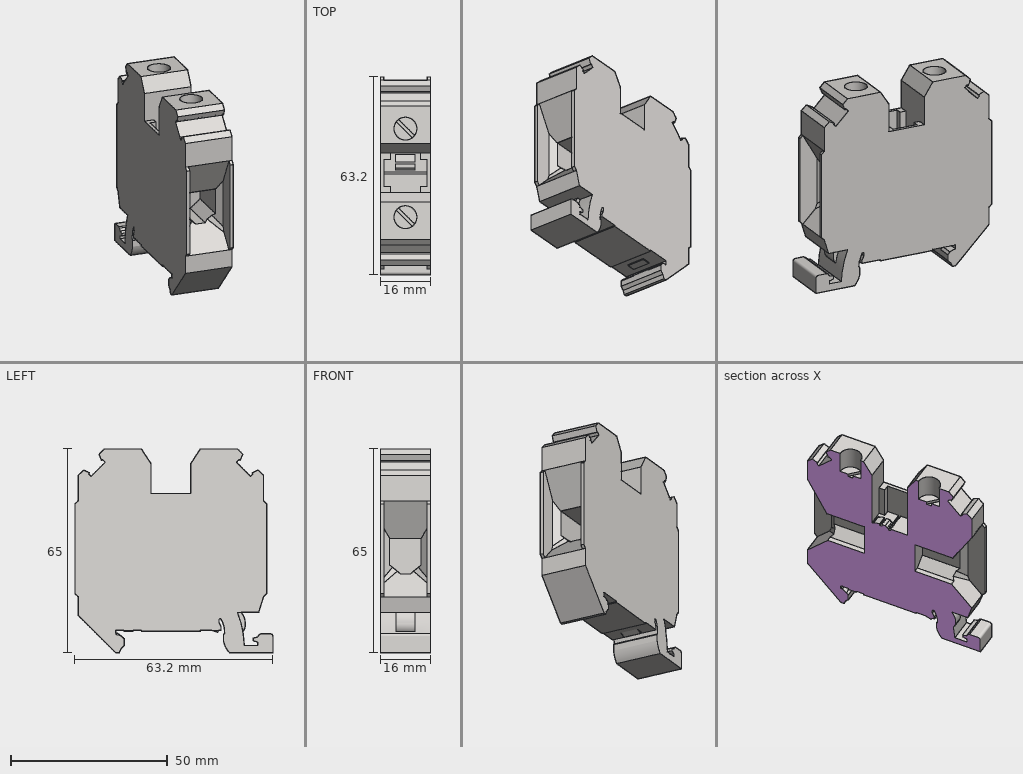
import cadquery as cq
import math


thickness = 16.0
height = 65.05
body_half = 29.6
rim_step = 1.05
rim_wall = 1.1
rim_half = body_half + rim_step
rim_bottom = 17.9
rim_top = 48.5

channel_half = 6.3
channel_floor = 50.9
channel_chamfer_y = 3.05
channel_chamfer_z = 4.7

pit_half_x = 6.8
pit_half_y = 4.3
pit_neck_half_x = 4.8
pit_depth = 11.05
pit_floor = channel_floor - pit_depth
rib_width = 6.25
sloped_rib_height = 0.8
beveled_rib_height = 0.65
groove_width = 0.7
groove_depth = 0.65

screw_y = 14.1
screw_diameter = 7.3
screw_depth = 7.8
slot_width = 1.05
slot_depth = 1.0

entry_half_x = thickness / 2 - rim_wall
entry_straight = 5.1
entry_depth = 9.1
entry_roof_angle = 60.0
bore_half_x = 5.0
bore_bottom_half_x = 1.6
bore_bottom = 25.25
bore_shoulder = 28.05
bore_top = 36.55
bore_end_y = 9.1

base_bottom = 6.8
base_step_z = 7.2
base_step_y = 9.4
foot_y = 17.55
foot_tip_y = 14.8
clip_width = 6.1

lever_slit_y = -16.05
lever_roof = 12.95
lever_root_y = -21.2
lever_floor = 2.4
lever_hook_y = -27.65
lever_end = -32.6
lever_hook_top = 6.1
lever_round = 0.9


def across(profile, width):
    """Extrude a closed YZ profile symmetrically across X."""
    return profile.extrude(width / 2, both=True)


def yz_polygon(points, width):
    return across(cq.Workplane("YZ").polyline(points).close(), width)


def both_ends(solid):
    """Return the solid together with its mirror image at the other end."""
    return solid.union(solid.mirror("XZ"))


tower_outline = [
    (channel_half, channel_floor),
    (channel_half, height - channel_chamfer_z),
    (channel_half + channel_chamfer_y, height),
    (21.3, height),
    (22.95, 63.35),
    (22.1, 61.35),
    (21.8, 61.65),
    (20.95, 60.8),
    (25.45, 56.35),
    (26.15, 57.05),
    (25.9, 57.45),
    (27.8, 58.35),
    (body_half, 56.65),
    (body_half, rim_top),
    (rim_half, rim_top - rim_step),
    (rim_half, rim_bottom + rim_step),
    (body_half, rim_bottom),
]


def make_body():
    """Body, fixed rail foot and flexible release lever in one outline."""
    profile = cq.Workplane("YZ").polyline([(-y, z) for y, z in reversed(tower_outline)] + tower_outline)
    profile = profile.lineTo(body_half, 12.0).lineTo(foot_y, 0).lineTo(16.45, 0)
    profile = profile.lineTo(15.9, 1.3).lineTo(foot_tip_y, 2.35).lineTo(foot_tip_y, 4.3)
    profile = profile.lineTo(15.55, 5.2).lineTo(16.5, 5.65).lineTo(foot_y, 5.85)
    profile = profile.lineTo(foot_y, base_step_z)
    profile = profile.lineTo(base_step_y, base_step_z).lineTo(base_step_y, base_bottom)
    profile = profile.lineTo(-base_step_y, base_bottom).lineTo(-base_step_y, base_step_z)
    profile = profile.lineTo(lever_slit_y, base_step_z).lineTo(lever_slit_y, 8.25)
    profile = profile.lineTo(-15.35, 9.75).lineTo(-15.35, 10.55)
    profile = profile.threePointArc((-15.7, 10.85), (lever_slit_y, 10.55))
    profile = profile.threePointArc((-16.85, 8.6), (-17.1, 6.25)).lineTo(-16.8, 5.85)
    profile = profile.lineTo(-16.8, 3.65).threePointArc((-17.5, 1.7), (-18.75, 0))
    profile = profile.lineTo(lever_end, 0).lineTo(lever_end, lever_hook_top - lever_round)
    round_center_y = lever_end + lever_round
    round_offset = lever_round * math.sqrt(0.5)
    round_middle = (round_center_y - round_offset, lever_hook_top - lever_round + round_offset)
    profile = profile.threePointArc(round_middle, (round_center_y, lever_hook_top))
    profile = profile.lineTo(-28.75, lever_hook_top).lineTo(-28.15, 5.85).lineTo(lever_hook_y, 5.1)
    profile = profile.lineTo(-26.2, 4.75).lineTo(-26.2, 3.9).lineTo(lever_hook_y, 3.4)
    profile = profile.lineTo(lever_hook_y, lever_floor).lineTo(-23.5, lever_floor)
    profile = profile.threePointArc((-22.85, 7.55), (lever_root_y, lever_roof))
    profile = profile.lineTo(-28.05, lever_roof).close()
    return across(profile, thickness)


def make_rim_recess():
    """Space between the two rims at one end (negative Y)."""
    return (
        cq.Workplane("XY")
        .box(2 * entry_half_x, rim_step, rim_top - rim_bottom, centered=(True, False, False))
        .translate((0, -rim_half, rim_bottom))
    )


def make_entry():
    """Flared wire entry at negative Y, running into a blind bore."""
    mouth_y = -body_half
    back_y = mouth_y + entry_depth
    roof_drop = entry_depth * math.tan(math.radians(entry_roof_angle))
    side = yz_polygon(
        [
            (mouth_y, rim_bottom),
            (mouth_y, rim_top),
            (back_y, rim_top - roof_drop),
            (back_y, rim_bottom + entry_depth),
        ],
        thickness,
    )
    taper_y = mouth_y + entry_straight
    back_half_x = entry_half_x - (entry_depth - entry_straight)
    plan = (
        cq.Workplane("XY")
        .polyline(
            [
                (-entry_half_x, mouth_y),
                (entry_half_x, mouth_y),
                (entry_half_x, taper_y),
                (back_half_x, back_y),
                (-back_half_x, back_y),
                (-entry_half_x, taper_y),
            ]
        )
        .close()
        .extrude(height)
    )
    flare = side.intersect(plan)
    for hand in (-1, 1):
        flare = flare.cut(make_corner_facet(hand, mouth_y))

    bore_right = [
        (bore_bottom_half_x, bore_bottom),
        (bore_half_x, bore_shoulder),
        (bore_half_x, bore_top),
    ]
    bore_left = [(-x, z) for x, z in reversed(bore_right)]
    bore_start_y = mouth_y + entry_straight + (entry_half_x - bore_half_x)
    bore = (
        cq.Workplane("XZ", origin=(0, bore_start_y, 0))
        .polyline(bore_right + bore_left)
        .close()
        .extrude(bore_start_y + bore_end_y)
    )
    return flare.union(bore)


def make_corner_facet(hand, mouth_y):
    """Sloping fill between the entry floor and one tapering side wall."""
    facet_size = 26.0
    corner_depth = 4.4
    facet_rise = 1.7
    edge_run_x = 6.5
    edge_run_y = 5.7
    corner = cq.Vector(hand * entry_half_x, mouth_y + corner_depth, rim_bottom + corner_depth)
    along_floor = cq.Vector(-hand * edge_run_x, edge_run_y, edge_run_y)
    up_wall = cq.Vector(0, entry_straight - corner_depth, facet_rise)
    outward = along_floor.cross(up_wall).multiply(hand)
    plane = cq.Plane(origin=corner, xDir=along_floor, normal=outward)
    return cq.Workplane(plane).rect(facet_size, facet_size).extrude(facet_size)


def make_screw_hole(y):
    """Screw hole whose floor is the screw head with its diagonal driver slot."""
    head_z = height - screw_depth
    hole = cq.Workplane("XY", origin=(0, y, head_z)).circle(screw_diameter / 2).extrude(screw_depth)
    slot_bar = (
        cq.Workplane("XY")
        .box(2 * screw_diameter, slot_width, slot_depth, centered=(True, True, False))
        .rotate((0, 0, 0), (0, 0, 1), -45)
        .translate((0, y, head_z - slot_depth))
    )
    head = cq.Workplane("XY", origin=(0, y, head_z)).circle(screw_diameter / 2).extrude(-slot_depth)
    return hole.union(slot_bar.intersect(head))


def make_pit():
    """Cross-stepped pit below the channel floor, with its floor groove and ribs left standing."""
    from_floor = cq.Workplane("XY", origin=(0, 0, pit_floor))
    pit = from_floor.rect(2 * pit_half_x, 2 * pit_half_y).extrude(pit_depth)
    pit = pit.union(from_floor.rect(2 * pit_neck_half_x, 2 * channel_half).extrude(pit_depth))
    pit = pit.union(from_floor.rect(2 * pit_half_x, groove_width).extrude(-groove_depth))
    sloped_rib = [
        (3.5, pit_floor),
        (3.5, pit_floor + sloped_rib_height),
        (5.0, pit_floor + sloped_rib_height / 2),
        (5.8, pit_floor + sloped_rib_height / 4),
        (5.8, pit_floor),
    ]
    beveled_rib = [
        (0.85, pit_floor),
        (1.55, pit_floor + beveled_rib_height),
        (2.85, pit_floor + beveled_rib_height),
        (2.85, pit_floor),
    ]
    for rib in (sloped_rib, beveled_rib):
        pit = pit.cut(yz_polygon(rib, rib_width))
    return pit


def make_tongue():
    """Bulging tongue on the outer side of the lever, just under the body."""
    crest = (-23.75, 9.5)
    profile = (
        cq.Workplane("YZ")
        .moveTo(lever_root_y, lever_roof)
        .lineTo(-22.4, lever_roof)
        .threePointArc((-23.4, 11.3), crest)
        .threePointArc((-23.6, 7.95), (-22.95, base_bottom))
        .lineTo(lever_root_y, base_bottom)
        .close()
    )
    return across(profile, clip_width)


def make_seat_nib():
    """Small nib under the rail seat, next to the lever slit."""
    return yz_polygon([(-12.75, base_step_z), (-14.9, 6.6), (-15.35, base_step_z)], clip_width)


def make_seat_pad():
    """Thin pad under the rail seat, next to the fixed foot."""
    return yz_polygon(
        [(12.05, base_step_z), (12.05, base_bottom), (14.95, base_bottom), (14.95, base_step_z)], clip_width
    )


def make_foot_lip():
    """Raised lip on top of the fixed foot."""
    return yz_polygon(
        [(foot_y, 5.6), (foot_y, 6.3), (17.0, 6.3), (foot_tip_y, 4.55), (foot_tip_y, 4.3)], clip_width
    )


result = make_body()
for detail in (make_tongue(), make_seat_nib(), make_seat_pad(), make_foot_lip()):
    result = result.union(detail)
result = result.cut(both_ends(make_rim_recess()))
result = result.cut(both_ends(make_entry()))
for y in (-screw_y, screw_y):
    result = result.cut(make_screw_hole(y))
result = result.cut(make_pit())